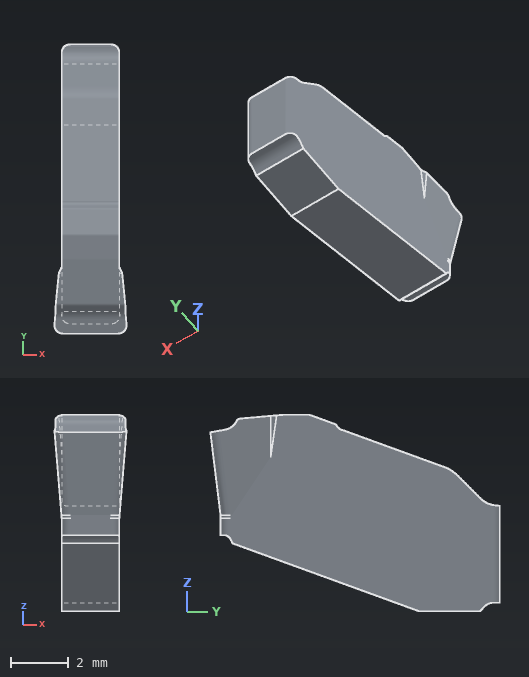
import cadquery as cq
import math


LENGTH = 10.0
HEIGHT = 6.8
BODY_HALF_WIDTH = 1.0
CORNER_RADIUS = 0.3

FRONT_BOTTOM_Z = 2.63
RELIEF_START_Z = 3.33
CUTTING_EDGE_Z = 6.19
RELIEF_ANGLE = 7.0

RAKE_ANGLE = 10.0
RAKE_END_Y = 0.514
BREAKER_END_Y = 0.906
BREAKER_END_Z = 6.57
CREST_Y = 1.057
RISE_ANGLE = 5.0
FLAT_FRONT_Y = 2.6
FLAT_BACK_Y = 3.384
BLEND_LENGTH = 0.06

SLOPE_ANGLE = 20.0
STEP_TOP_Y = 4.29
STEP_MIDDLE_Y = 4.381
STEP_BOTTOM_Y = 4.592
STEP_DROP = 0.22
STEP_TOP_DROP = 0.077
SLOPE_END_Y = 8.127

SHOULDER_ARC_LENGTH = 0.18
SHOULDER_FLAT_LENGTH = 0.06
SHOULDER_FLAT_ANGLE = 34.0
RAMP_ANGLE = 45.0
RAMP_END_Y = 9.335

BACK_LAND_Y = 9.9
BACK_LAND_Z = 3.665
BACK_TOP_Z = 3.65
BACK_BOTTOM_Z = 0.3
BACK_NOTCH_Y = 9.8
BACK_NOTCH_ARC_DEPTH = 0.345
BACK_NOTCH_ARC_DROP = 0.15
BOTTOM_BACK_Y = 9.32

BOTTOM_FRONT_Y = 7.22
BOTTOM_SLOPE_END_Y = 0.77
FRONT_NOTCH_ARC_Y = 0.70
FRONT_NOTCH_ARC_Z = 2.49
FRONT_NOTCH_END_Y = 0.48

FLANK_CORNER_Y = 2.09
FLANK_CORNER_Z = 5.34
FLANK_TAPER_Y = 6.0
FLANK_TAPER_Z = 4.0
FLANK_BACK_ANGLE = 26.0
FLANK_BACK_LENGTH = 0.6
FLANK_BOTTOM_Z = 3.22


def rise(run, angle):
    """Height gained over a horizontal run at an angle in degrees."""
    return run * math.tan(math.radians(angle))


def front_y(z):
    """Y of the front face at height z: vertical up to the relief start, then leaning forward."""
    return rise(CUTTING_EDGE_Z - max(z, RELIEF_START_Z), RELIEF_ANGLE)


def side_outline():
    """Closed outline of the insert in the YZ plane, starting at the cutting edge."""
    rake_end_z = CUTTING_EDGE_Z + rise(RAKE_END_Y, RAKE_ANGLE)

    rise_end_y = FLAT_FRONT_Y - BLEND_LENGTH
    rise_end_z = HEIGHT - rise(BLEND_LENGTH, RISE_ANGLE / 2)
    crest_z = rise_end_z - rise(rise_end_y - CREST_Y, RISE_ANGLE)

    slope_start_y = FLAT_BACK_Y + BLEND_LENGTH
    slope_start_z = HEIGHT - rise(BLEND_LENGTH, SLOPE_ANGLE / 2)
    step_top_z = slope_start_z - rise(STEP_TOP_Y - slope_start_y, SLOPE_ANGLE)
    step_middle_z = step_top_z - STEP_TOP_DROP
    step_bottom_z = step_top_z - STEP_DROP
    slope_end_z = step_bottom_z - rise(SLOPE_END_Y - STEP_BOTTOM_Y, SLOPE_ANGLE)

    first_arc_angle = (SLOPE_ANGLE + SHOULDER_FLAT_ANGLE) / 2
    second_arc_angle = (SHOULDER_FLAT_ANGLE + RAMP_ANGLE) / 2
    flat_start_y = SLOPE_END_Y + SHOULDER_ARC_LENGTH
    flat_start_z = slope_end_z - rise(SHOULDER_ARC_LENGTH, first_arc_angle)
    flat_end_y = flat_start_y + SHOULDER_FLAT_LENGTH
    flat_end_z = flat_start_z - rise(SHOULDER_FLAT_LENGTH, SHOULDER_FLAT_ANGLE)
    ramp_start_y = flat_end_y + SHOULDER_ARC_LENGTH
    ramp_start_z = flat_end_z - rise(SHOULDER_ARC_LENGTH, second_arc_angle)
    ramp_end_z = ramp_start_z - rise(RAMP_END_Y - ramp_start_y, RAMP_ANGLE)

    notch_arc_end = (BACK_NOTCH_Y - BACK_NOTCH_ARC_DEPTH, BACK_BOTTOM_Z - BACK_NOTCH_ARC_DROP)
    bottom_slope_end_z = rise(BOTTOM_FRONT_Y - BOTTOM_SLOPE_END_Y, SLOPE_ANGLE)
    relief_start_y = front_y(RELIEF_START_Z)

    outline = cq.Workplane("YZ").moveTo(0, CUTTING_EDGE_Z)
    outline = (
        outline.lineTo(RAKE_END_Y, rake_end_z)
        .tangentArcPoint((BREAKER_END_Y, BREAKER_END_Z), relative=False)
        .tangentArcPoint((CREST_Y, crest_z), relative=False)
        .lineTo(rise_end_y, rise_end_z)
        .tangentArcPoint((FLAT_FRONT_Y, HEIGHT), relative=False)
        .lineTo(FLAT_BACK_Y, HEIGHT)
        .tangentArcPoint((slope_start_y, slope_start_z), relative=False)
    )
    outline = (
        outline.lineTo(STEP_TOP_Y, step_top_z)
        .tangentArcPoint((STEP_MIDDLE_Y, step_middle_z), relative=False)
        .tangentArcPoint((STEP_BOTTOM_Y, step_bottom_z), relative=False)
        .lineTo(SLOPE_END_Y, slope_end_z)
    )
    outline = (
        outline.tangentArcPoint((flat_start_y, flat_start_z), relative=False)
        .lineTo(flat_end_y, flat_end_z)
        .tangentArcPoint((ramp_start_y, ramp_start_z), relative=False)
        .lineTo(RAMP_END_Y, ramp_end_z)
        .tangentArcPoint((BACK_LAND_Y, BACK_LAND_Z), relative=False)
        .lineTo(LENGTH, BACK_TOP_Z)
    )
    outline = (
        outline.lineTo(LENGTH, BACK_BOTTOM_Z)
        .lineTo(BACK_NOTCH_Y, BACK_BOTTOM_Z)
        .tangentArcPoint(notch_arc_end, relative=False)
        .lineTo(BOTTOM_BACK_Y, 0)
        .lineTo(BOTTOM_FRONT_Y, 0)
        .lineTo(BOTTOM_SLOPE_END_Y, bottom_slope_end_z)
    )
    return (
        outline.lineTo(FRONT_NOTCH_ARC_Y, FRONT_NOTCH_ARC_Z)
        .tangentArcPoint((FRONT_NOTCH_END_Y, FRONT_BOTTOM_Z), relative=False)
        .lineTo(relief_start_y, FRONT_BOTTOM_Z)
        .lineTo(relief_start_y, RELIEF_START_Z)
        .close()
    )


def side_prism(half_width):
    """The side outline extruded equally to both sides of the mid-plane."""
    return side_outline().extrude(half_width, both=True)


def make_body():
    """Flat body whose plan is a rectangle with rounded corners, behind the lower front face."""
    body_front_y = front_y(RELIEF_START_Z)
    body_length = LENGTH - body_front_y
    plan = (
        cq.Workplane("XY")
        .center(0, body_front_y + body_length / 2)
        .rect(2 * BODY_HALF_WIDTH, body_length)
        .extrude(HEIGHT)
        .edges("|Z")
        .fillet(CORNER_RADIUS)
    )
    return plan.intersect(side_prism(2 * BODY_HALF_WIDTH))


def nose_section(z):
    """Horizontal section of the nose at height z, as a closed wire."""
    corner_x = BODY_HALF_WIDTH + rise(z - FLANK_CORNER_Z, FLANK_TAPER_Z)
    front_x = corner_x + rise(FLANK_CORNER_Y - front_y(z), FLANK_TAPER_Y)
    back_x = corner_x - rise(FLANK_BACK_LENGTH, FLANK_BACK_ANGLE)
    right_side = [
        (front_x, front_y(z)),
        (corner_x, FLANK_CORNER_Y),
        (back_x, FLANK_CORNER_Y + FLANK_BACK_LENGTH),
    ]
    left_side = [(-x, y) for x, y in reversed(right_side)]
    points = [cq.Vector(x, y, z) for x, y in right_side + left_side]
    return cq.Wire.makePolygon(points, close=True)


def nose_wedge(bottom_z, top_z):
    """Part of the nose between two heights, with its two front edges rounded."""
    sections = [nose_section(bottom_z), nose_section(top_z)]
    wedge = cq.Workplane(obj=cq.Solid.makeLoft(sections, True))
    return wedge.faces("<Y").edges("not #Z").fillet(CORNER_RADIUS)


def make_nose():
    """Tapered nose with rounded front corners, trimmed to the side outline."""
    lower_wedge = nose_wedge(FLANK_BOTTOM_Z, RELIEF_START_Z)
    upper_wedge = nose_wedge(RELIEF_START_Z, HEIGHT)
    return lower_wedge.union(upper_wedge).intersect(side_prism(2 * BODY_HALF_WIDTH))


result = make_body().union(make_nose())